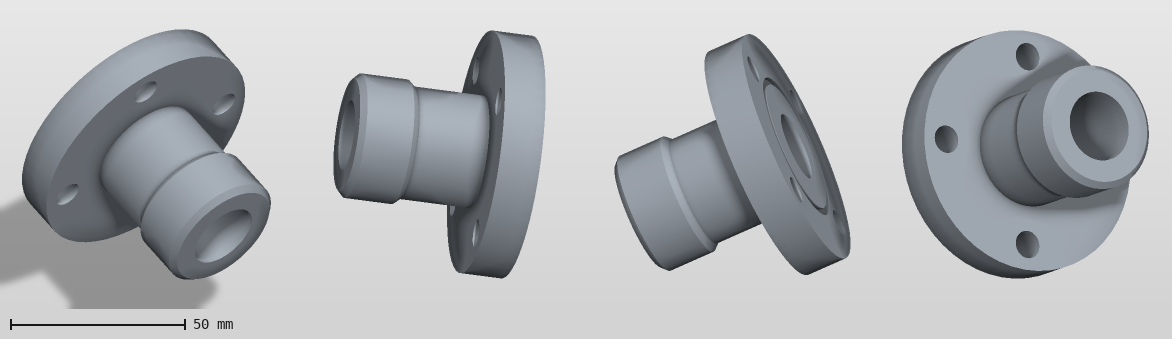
import cadquery as cq

flange_diameter = 70.0
total_length = 50.0

flange_thickness = 12.0
bolt_circle_diameter = 55.0
bolt_hole_diameter = 8.0
bolt_hole_count = 4

groove_outer_diameter = 42.9
groove_inner_diameter = 38.6
groove_depth = 1.2

neck_diameter = 32.5
head_diameter = 36.0
bore_diameter = 20.0
head_start = 32.5
shoulder_length = 1.95
end_chamfer = 1.75


def body():
    """Flange, neck and chamfered head revolved about the X axis."""
    flange_radius = flange_diameter / 2
    neck_radius = neck_diameter / 2
    head_radius = head_diameter / 2
    profile = [
        (0, 0),
        (0, flange_radius),
        (flange_thickness, flange_radius),
        (flange_thickness, neck_radius),
        (head_start, neck_radius),
        (head_start + shoulder_length, head_radius),
        (total_length - end_chamfer, head_radius),
        (total_length, head_radius - end_chamfer),
        (total_length, 0),
    ]
    return cq.Workplane("XY").polyline(profile).close().revolve(360, (0, 0, 0), (1, 0, 0))


def face_groove():
    """Ring cut into the flange face at X = 0."""
    return (
        cq.Workplane("YZ")
        .circle(groove_outer_diameter / 2)
        .circle(groove_inner_diameter / 2)
        .extrude(groove_depth)
    )


def bore():
    return cq.Workplane("YZ").circle(bore_diameter / 2).extrude(total_length)


def bolt_holes():
    """Through holes on the Y and Z axes of the flange."""
    return (
        cq.Workplane("YZ")
        .polarArray(bolt_circle_diameter / 2, 0, 360, bolt_hole_count)
        .circle(bolt_hole_diameter / 2)
        .extrude(flange_thickness)
    )


result = body().cut(face_groove()).cut(bore()).cut(bolt_holes())